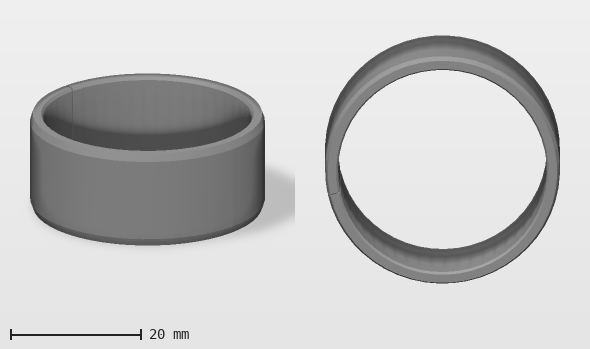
import cadquery as cq

outer_diameter = 36.0
inner_diameter = 32.0
height = 15.0
outer_chamfer_height = 1.2
outer_chamfer_depth = 0.45
inner_chamfer_height = 0.5
inner_chamfer_depth = 0.3
slit_width = 0.3

outer_radius = outer_diameter / 2
inner_radius = inner_diameter / 2
half_height = height / 2


def chamfered_ring():
    """Revolve the wall section, centred on the origin, about Z."""
    rim_outer = outer_radius - outer_chamfer_depth
    rim_inner = inner_radius + inner_chamfer_depth
    outer_edge = half_height - outer_chamfer_height
    inner_edge = half_height - inner_chamfer_height
    section = [
        (inner_radius, -inner_edge),
        (rim_inner, -half_height),
        (rim_outer, -half_height),
        (outer_radius, -outer_edge),
        (outer_radius, outer_edge),
        (rim_outer, half_height),
        (rim_inner, half_height),
        (inner_radius, inner_edge),
    ]
    return cq.Workplane("XZ").polyline(section).close().revolve(360, (0, 0), (0, 1))


def slit_cutter():
    """Thin slab through the -X wall, with one face on the plane Y = 0."""
    slab = cq.Workplane("XY").box(outer_diameter, slit_width, 2 * height)
    return slab.translate((-outer_radius, slit_width / 2, 0))


result = chamfered_ring().cut(slit_cutter())